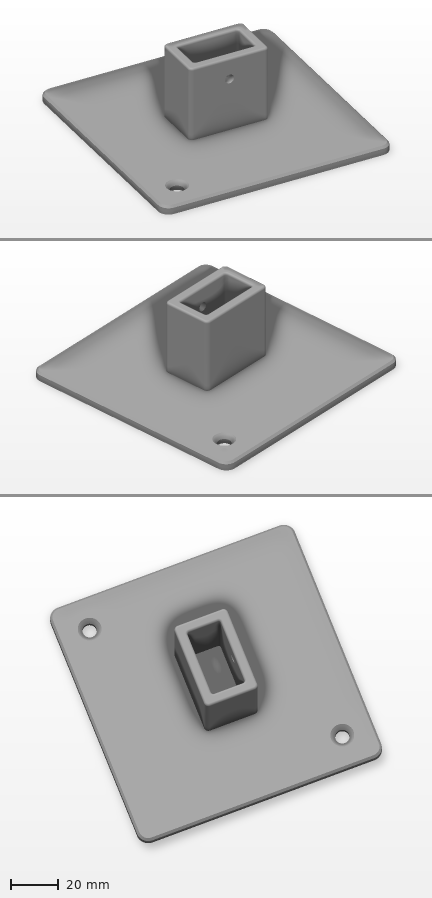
import cadquery as cq

plate_side = 110.0
plate_thickness = 4.1
plate_corner_radius = 5.0
plate_edge_chamfer = 1.0

total_height = 39.0
socket_width = 24.0
socket_length = 38.0
socket_corner_radius = 2.0
cavity_width = 15.0
cavity_length = 29.2
cavity_corner_radius = 1.0
rim_radius = 1.0
socket_height = total_height - plate_thickness

mount_offset = 41.0
mount_diameter = 6.0
countersink_diameter = 10.0
countersink_angle = 90

cross_hole_diameter = 4.2
cross_hole_height = 29.0


def rounded_block(width, length, height, corner_radius, base_height):
    """Centred block with rounded vertical edges."""
    return (
        cq.Workplane("XY", origin=(0, 0, base_height))
        .rect(width, length)
        .extrude(height)
        .edges("|Z")
        .fillet(corner_radius)
    )


def make_plate():
    plate = rounded_block(plate_side, plate_side, plate_thickness, plate_corner_radius, 0)
    return (
        plate.faces(">Z")
        .chamfer(plate_edge_chamfer)
        .faces(">Z")
        .workplane(origin=(0, 0, plate_thickness))
        .pushPoints([(-mount_offset, mount_offset), (mount_offset, -mount_offset)])
        .cskHole(mount_diameter, countersink_diameter, countersink_angle)
    )


def make_socket():
    outer = rounded_block(
        socket_width, socket_length, socket_height, socket_corner_radius, plate_thickness
    )
    cavity = rounded_block(
        cavity_width, cavity_length, socket_height, cavity_corner_radius, plate_thickness
    )
    socket = outer.cut(cavity).faces(">Z").edges().fillet(rim_radius)
    cross_hole = (
        cq.Workplane("YZ", origin=(0, 0, cross_hole_height))
        .circle(cross_hole_diameter / 2)
        .extrude(socket_width)
    )
    return socket.cut(cross_hole)


result = make_plate().union(make_socket())